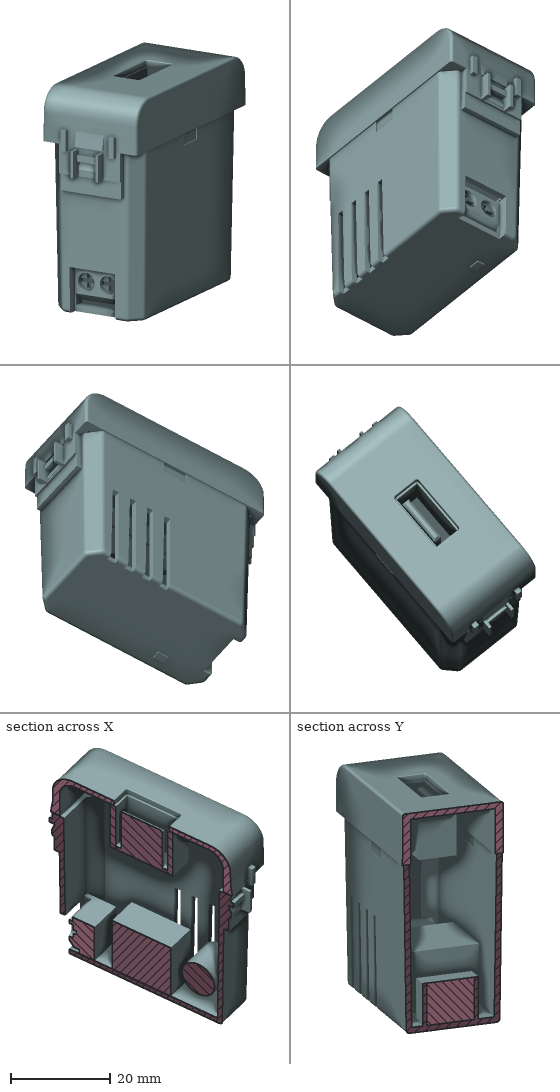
import cadquery as cq
TOTAL_HEIGHT = 47.25
COVER_BOTTOM = 36.2
HOUSING_BOTTOM = 0.3

COVER_WIDTH = 22.0
COVER_LENGTH = 43.95
COVER_DRAFT = 0.3
COVER_END_RADIUS = 4.95
COVER_EDGE_RADIUS = 0.6
COVER_WALL = 1.95
COVER_ROOF = 1.4

OPENING_X = -0.4
OPENING_WIDTH = 6.15
OPENING_LENGTH = 13.6
OPENING_CORNER = 0.5
OPENING_EDGE = 0.2
PICK_MARGIN = 0.05
SOCKET_RIM = 0.45
SOCKET_SHELL = 0.95
SOCKET_HEIGHT = 11.55
SOCKET_FLOOR = 0.95
TONGUE_X = 1.0
TONGUE_WIDTH = 1.65
TONGUE_LENGTH = 10.2
TONGUE_DROP = 2.02
TONGUE_CHAMFER = 0.5

HOUSING_TOP_WIDTH = 21.4
HOUSING_TOP_LENGTH = 40.85
HOUSING_SHRINK = 0.55
HOUSING_CHAMFER = 2.7
HOUSING_CORNER_RADIUS = 1.05
HOUSING_BOTTOM_RADIUS = 0.85
WALL = 1.3

PLATE_WIDTH = 14.15
PLATE_FACE = 22.05
PLATE_BOTTOM = 30.05
STEP_FACE = 21.55
STEP_BOTTOM = 26.35
LATCH_BACK = 20.25
FIN_OUTER_X = 3.25
FIN_THICKNESS = 0.65
FIN_TOP = 35.7
FIN_TIP = 24.1
HOOK_WIDTH = 5.0
LEDGE_TOP = 34.6
LEDGE_BOTTOM = 33.3
LEDGE_REACH = 0.75
WEDGE_CREST = 31.5
WEDGE_BOTTOM = 30.55
WEDGE_REACH = 0.15
HOOK_RECESS = 0.6

RIB_X = 5.6
RIB_WIDTH = 1.15
RIB_TIP = 23.05
RIB_TOP = 39.48
RIB_BOTTOM = 35.05
RAMP_FACE = 22.45
RAMP_TOP = 39.6
RAMP_TOP_FACE = 21.95
END_FEATURE_ROOT = 21.2

WINDOW_WIDTH = 5.4
WINDOW_BOTTOM = 33.6
CLIP_GAP = 0.15
CLIP_INNER_X = 9.55
CLIP_FACE_X = 10.55
CLIP_NECK_X = 10.4
CLIP_STEP = 35.55

SLOT_COUNT = 4
SLOT_FIRST_Y = 14.35
SLOT_PITCH = 4.218
SLOT_TOP = 20.3
SLOT_TOP_WIDTH = 1.45
SLOT_BOTTOM_WIDTH = 1.85

PORT_X = -0.55
PORT_WIDTH = 10.55
PORT_TOP = 10.05
PORT_DEPTH = 2.05
CHEEK_THICKNESS = 0.95

FOOT_X = 6.45
FOOT_Y = -8.6
FOOT_WIDTH = 1.75
FOOT_LENGTH = 2.55

TERMINAL_WIDTH = 10.1
TERMINAL_FRONT = -17.95
TERMINAL_LOWER_FRONT = -15.4
TERMINAL_BACK = -11.55
TERMINAL_TOP = 9.5
TERMINAL_STEP_TOP = 10.6
TERMINAL_STEP_DEPTH = 0.95
TERMINAL_SLANT_TOP = 4.05
TERMINAL_SLANT_BOTTOM = 2.55
TERMINAL_SLANT_DEPTH = 1.25
SCREW_CENTRES_X = (-3.15, 1.95)
SCREW_Z = 6.75
SCREW_RADIUS = 1.95
SCREW_DEPTH = 1.05
CROSS_WIDTH = 0.85
CROSS_HEIGHT = 3.0
CROSS_DEPTH = 0.7

TRANSFORMER_FRONT = -5.8
TRANSFORMER_BACK = 8.85
TRANSFORMER_LENGTH = 14.45
TRANSFORMER_TOP = 14.65
BOSS_Z = 10.6
BOSS_RADIUS = 2.0
BOSS_LENGTH = 1.45
CAPACITOR_Y = 14.0
CAPACITOR_Z = 9.65
CAPACITOR_RADIUS = 4.05
CAPACITOR_FRONT = -6.75
CAPACITOR_LENGTH = 13.5

COVER_HEIGHT = TOTAL_HEIGHT - COVER_BOTTOM
ROOF_UNDERSIDE = TOTAL_HEIGHT - COVER_ROOF
HOUSING_HEIGHT = COVER_BOTTOM - HOUSING_BOTTOM
FLOOR_TOP = HOUSING_BOTTOM + WALL
HOUSING_HALF_WIDTH = HOUSING_TOP_WIDTH / 2 - HOUSING_SHRINK
HOUSING_HALF_LENGTH = HOUSING_TOP_LENGTH / 2 - HOUSING_SHRINK
PORT_BACK = PORT_DEPTH - HOUSING_HALF_LENGTH
ENDS = (1, -1)


def block(x_range, y_range, z_range):
    """Box spanning the given (low, high) pairs."""
    sizes = [high - low for low, high in (x_range, y_range, z_range)]
    corner = (x_range[0], y_range[0], z_range[0])
    return cq.Workplane("XY").box(*sizes, centered=False).translate(corner)


def centred(width, middle=0.0):
    """(low, high) pair of a span of the given width."""
    return (middle - width / 2, middle + width / 2)


def profile_along_x(points, width, middle=0.0):
    """Solid with a (y, z) outline, extruded along X about the middle."""
    outline = cq.Workplane("YZ", origin=(middle - width / 2, 0, 0)).polyline(points).close()
    return outline.extrude(width)


def at_end(solid, end):
    """The +Y solid itself, or its mirror image for the -Y end."""
    return solid if end > 0 else solid.mirror("XZ")



def cover_shell():
    outer = cq.Workplane("XY", origin=(0, 0, COVER_BOTTOM)).rect(COVER_WIDTH, COVER_LENGTH)
    outer = outer.extrude(COVER_HEIGHT, taper=COVER_DRAFT)
    outer = outer.faces(">Z").edges("|X").fillet(COVER_END_RADIUS)
    side_edges = outer.faces("<X or >X").edges("not(<Z)")
    outer = side_edges.fillet(COVER_EDGE_RADIUS)
    cavity = block(
        centred(COVER_WIDTH - 2 * COVER_WALL),
        centred(COVER_LENGTH - 2 * COVER_WALL),
        (COVER_BOTTOM, ROOF_UNDERSIDE),
    )
    cavity = cavity.faces(">Z").edges("|X").fillet(COVER_END_RADIUS - COVER_ROOF)
    return outer.cut(cavity)


def roof_opening():
    opening = block(
        centred(OPENING_WIDTH, OPENING_X), centred(OPENING_LENGTH), (ROOF_UNDERSIDE, TOTAL_HEIGHT)
    )
    return opening.edges("|Z").fillet(OPENING_CORNER)


def cover_end_features():
    """Two ribs and the ramp between them, on the +Y end."""
    ramp = profile_along_x(
        [
            (END_FEATURE_ROOT, COVER_BOTTOM),
            (RAMP_FACE, COVER_BOTTOM),
            (RAMP_TOP_FACE, RAMP_TOP),
            (END_FEATURE_ROOT, RAMP_TOP),
        ],
        2 * FIN_OUTER_X,
    )
    features = ramp
    for rib_x in (-RIB_X, RIB_X):
        root = block(centred(RIB_WIDTH, rib_x), (END_FEATURE_ROOT, RIB_TIP), (COVER_BOTTOM, RIB_TOP))
        tip = block(centred(RIB_WIDTH, rib_x), (PLATE_FACE, RIB_TIP), (RIB_BOTTOM, COVER_BOTTOM))
        features = features.union(root).union(tip)
    return features


def cover_clip():
    """Clip hanging from the +X wall of the cover into the housing window."""
    width = centred(WINDOW_WIDTH - 2 * CLIP_GAP)
    neck = block((CLIP_INNER_X, CLIP_NECK_X), width, (CLIP_STEP, COVER_BOTTOM))
    nose = block((CLIP_INNER_X, CLIP_FACE_X), width, (WINDOW_BOTTOM + CLIP_GAP, CLIP_STEP))
    return neck.union(nose)


def make_cover():
    cover = cover_shell().cut(roof_opening())
    rim = cq.selectors.BoxSelector(
        (OPENING_X - OPENING_WIDTH, -OPENING_LENGTH, TOTAL_HEIGHT - PICK_MARGIN),
        (OPENING_X + OPENING_WIDTH, OPENING_LENGTH, TOTAL_HEIGHT + PICK_MARGIN),
    )
    cover = cover.edges(rim).fillet(OPENING_EDGE)
    for end in ENDS:
        cover = cover.union(at_end(cover_end_features(), end))
    clip = cover_clip()
    return cover.union(clip).union(clip.mirror("YZ"))



def make_socket():
    pocket_width = OPENING_WIDTH - 2 * SOCKET_RIM
    pocket_length = OPENING_LENGTH - 2 * SOCKET_RIM
    bottom = ROOF_UNDERSIDE - SOCKET_HEIGHT
    floor = bottom + SOCKET_FLOOR
    shell = block(
        centred(OPENING_WIDTH + 2 * SOCKET_SHELL, OPENING_X),
        centred(OPENING_LENGTH + 2 * SOCKET_SHELL),
        (bottom, ROOF_UNDERSIDE),
    )
    pocket = block(
        centred(pocket_width, OPENING_X), centred(pocket_length), (floor, ROOF_UNDERSIDE)
    )
    tongue = block(
        centred(TONGUE_WIDTH, TONGUE_X), centred(TONGUE_LENGTH), (floor, TOTAL_HEIGHT - TONGUE_DROP)
    )
    tongue = tongue.faces(">Z").edges().chamfer(TONGUE_CHAMFER)
    return shell.cut(pocket).union(tongue)



def octagon(inset, height):
    """Wire of the chamfered rectangle at a height, inset from the drafted housing outline."""
    growth = HOUSING_SHRINK * (height - HOUSING_BOTTOM) / HOUSING_HEIGHT - inset
    half_x = HOUSING_HALF_WIDTH + growth
    half_y = HOUSING_HALF_LENGTH + growth
    inner_x = half_x - HOUSING_CHAMFER
    inner_y = half_y - HOUSING_CHAMFER
    points = [
        (inner_x, -half_y), (half_x, -inner_y), (half_x, inner_y), (inner_x, half_y),
        (-inner_x, half_y), (-half_x, inner_y), (-half_x, -inner_y), (-inner_x, -half_y),
    ]
    return cq.Wire.makePolygon([cq.Vector(x, y, height) for x, y in points], close=True)


def drafted_octagon(inset, bottom):
    """Octagonal prism that widens upward from the given height to the cover."""
    ends = [octagon(inset, bottom), octagon(inset, COVER_BOTTOM)]
    return cq.Workplane(cq.Solid.makeLoft(ends, True))


def housing_shell():
    outer = drafted_octagon(0, HOUSING_BOTTOM)
    outer = outer.edges("not(<Z or >Z)").fillet(HOUSING_CORNER_RADIUS)
    outer = outer.faces("<Z").edges().fillet(HOUSING_BOTTOM_RADIUS)
    return outer.cut(drafted_octagon(WALL, FLOOR_TOP))


def latch():
    """Stepped plate with two fins and the hook between them, on the +Y end."""
    plate = profile_along_x(
        [
            (LATCH_BACK, STEP_BOTTOM),
            (STEP_FACE, STEP_BOTTOM),
            (STEP_FACE, PLATE_BOTTOM),
            (PLATE_FACE, PLATE_BOTTOM),
            (PLATE_FACE, COVER_BOTTOM),
            (LATCH_BACK, COVER_BOTTOM),
        ],
        PLATE_WIDTH,
    )
    recess = block(
        centred(HOOK_WIDTH), (PLATE_FACE - HOOK_RECESS, PLATE_FACE), (WEDGE_BOTTOM, LEDGE_BOTTOM)
    )
    hook = profile_along_x(
        [
            (LATCH_BACK, LEDGE_TOP),
            (PLATE_FACE + LEDGE_REACH, LEDGE_TOP),
            (PLATE_FACE + LEDGE_REACH, LEDGE_BOTTOM),
            (PLATE_FACE - HOOK_RECESS, LEDGE_BOTTOM),
            (PLATE_FACE + WEDGE_REACH, WEDGE_CREST),
            (PLATE_FACE + WEDGE_REACH, WEDGE_BOTTOM),
            (LATCH_BACK, WEDGE_BOTTOM),
        ],
        HOOK_WIDTH,
    )
    solid = plate.cut(recess).union(hook)
    for side in (-1, 1):
        fin_x = side * (FIN_OUTER_X - FIN_THICKNESS / 2)
        fin = block(centred(FIN_THICKNESS, fin_x), (STEP_FACE, FIN_TIP), (PLATE_BOTTOM, FIN_TOP))
        solid = solid.union(fin)
    return solid


def vent_slots():
    depth = HOUSING_TOP_WIDTH / 2 - HOUSING_HALF_WIDTH + WALL
    slots = cq.Workplane("XY")
    for index in range(SLOT_COUNT):
        slot_y = SLOT_FIRST_Y - index * SLOT_PITCH
        points = [
            (slot_y - SLOT_BOTTOM_WIDTH / 2, HOUSING_BOTTOM),
            (slot_y + SLOT_BOTTOM_WIDTH / 2, HOUSING_BOTTOM),
            (slot_y + SLOT_TOP_WIDTH / 2, SLOT_TOP),
            (slot_y - SLOT_TOP_WIDTH / 2, SLOT_TOP),
        ]
        slots = slots.union(profile_along_x(points, depth, depth / 2 - HOUSING_TOP_WIDTH / 2))
    return slots


def terminal_cheeks():
    """Two walls on the floor that hold the terminal block between them."""
    cheeks = cq.Workplane("XY")
    for side in (-1, 1):
        cheek_x = PORT_X + side * (TERMINAL_WIDTH + CHEEK_THICKNESS) / 2
        cheek = block(
            centred(CHEEK_THICKNESS, cheek_x),
            (WALL / 2 - HOUSING_HALF_LENGTH, TERMINAL_BACK),
            (FLOOR_TOP - WALL / 2, TERMINAL_STEP_TOP),
        )
        cheeks = cheeks.union(cheek)
    return cheeks


def make_housing():
    housing = housing_shell()
    for end in ENDS:
        housing = housing.union(at_end(latch(), end))
    housing = housing.cut(vent_slots()).union(terminal_cheeks())
    port = block(
        centred(PORT_WIDTH, PORT_X),
        (-HOUSING_TOP_LENGTH / 2, PORT_BACK),
        (HOUSING_BOTTOM, PORT_TOP),
    )
    windows = block(
        centred(HOUSING_TOP_WIDTH), centred(WINDOW_WIDTH), (WINDOW_BOTTOM, COVER_BOTTOM)
    )
    foot = block(
        centred(FOOT_WIDTH, FOOT_X), centred(FOOT_LENGTH, FOOT_Y), (0, HOUSING_BOTTOM)
    )
    return housing.cut(port).cut(windows).union(foot)



def screw_recess(screw_x):
    """Round recess with a cross slot in its floor."""
    recess = cq.Workplane("XZ", origin=(screw_x, TERMINAL_FRONT, SCREW_Z))
    recess = recess.circle(SCREW_RADIUS).extrude(-SCREW_DEPTH)
    slot_y = (TERMINAL_FRONT, TERMINAL_FRONT + SCREW_DEPTH + CROSS_DEPTH)
    upright = block(centred(CROSS_WIDTH, screw_x), slot_y, centred(CROSS_HEIGHT, SCREW_Z))
    across = block(centred(2 * SCREW_RADIUS, screw_x), slot_y, centred(CROSS_WIDTH, SCREW_Z))
    return recess.union(upright).union(across)


def make_terminal():
    terminal = profile_along_x(
        [
            (TERMINAL_LOWER_FRONT, FLOOR_TOP),
            (TERMINAL_LOWER_FRONT, TERMINAL_SLANT_BOTTOM),
            (TERMINAL_FRONT + TERMINAL_SLANT_DEPTH, TERMINAL_SLANT_BOTTOM),
            (TERMINAL_FRONT, TERMINAL_SLANT_TOP),
            (TERMINAL_FRONT, TERMINAL_TOP),
            (TERMINAL_FRONT + TERMINAL_STEP_DEPTH, TERMINAL_TOP),
            (TERMINAL_FRONT + TERMINAL_STEP_DEPTH, TERMINAL_STEP_TOP),
            (TERMINAL_BACK, TERMINAL_STEP_TOP),
            (TERMINAL_BACK, FLOOR_TOP),
        ],
        TERMINAL_WIDTH,
        PORT_X,
    )
    for screw_x in SCREW_CENTRES_X:
        terminal = terminal.cut(screw_recess(screw_x))
    return terminal



def make_transformer():
    core = block(
        (TRANSFORMER_FRONT, TRANSFORMER_BACK),
        centred(TRANSFORMER_LENGTH),
        (FLOOR_TOP, TRANSFORMER_TOP),
    )
    boss = cq.Workplane("YZ", origin=(TRANSFORMER_FRONT, 0, BOSS_Z))
    boss = boss.circle(BOSS_RADIUS).extrude(-BOSS_LENGTH)
    return core.union(boss)


def make_capacitor():
    axis_start = (CAPACITOR_FRONT, CAPACITOR_Y, CAPACITOR_Z)
    return cq.Workplane("YZ", origin=axis_start).circle(CAPACITOR_RADIUS).extrude(CAPACITOR_LENGTH)


cover = make_cover()
socket = make_socket()
housing = make_housing()
terminal = make_terminal()
transformer = make_transformer()
capacitor = make_capacitor()

result = cq.Compound.makeCompound([
    cover.val(),
    socket.val(),
    housing.val(),
    terminal.val(),
    transformer.val(),
    capacitor.val(),
])